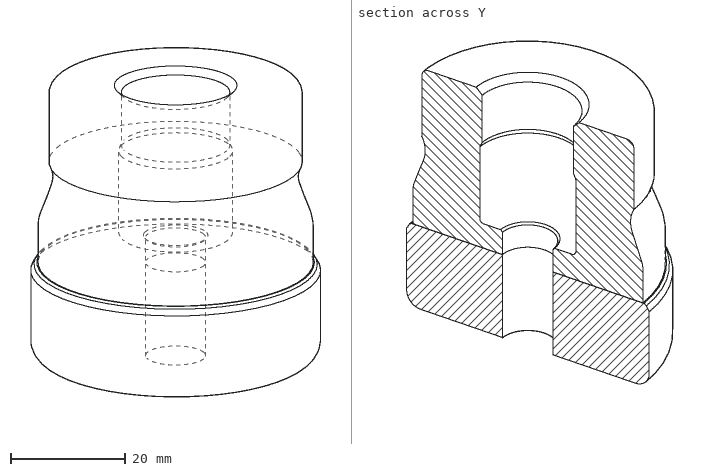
import cadquery as cq
import math

total_height = 49.86

base_radius = 25.4
base_height = 17.2
bottom_round = 3.0
lower_bevel_width = 0.6
lower_bevel_height = 1.04
upper_bevel_width = 0.5
upper_bevel_height = 0.36

hole_radius = 5.25
hole_chamfer = 0.4

skirt_radius = 24.1
shoulder_start_z = 24.0
shoulder_round = 5.0
cone_angle = math.radians(20)
neck_start_z = 31.0
neck_round = 6.0
head_start_z = 35.8
head_radius = 22.2
head_round = 1.5

bore_radius = 9.5
entry_chamfer = 1.25
bore_depth = 11.0
flare_width = 0.5
flare_height = 1.07
floor_thickness = 5.0
floor_round = 0.8


def revolve_about_z(profile):
    """Turn a closed radius-height profile into a solid round the Z axis."""
    return profile.close().revolve(360, (0, 0, 0), (0, 1, 0))


def make_base():
    upper_bevel_radius = base_radius - lower_bevel_width
    upper_bevel_z = base_height - upper_bevel_height
    profile = (
        cq.Workplane("XZ")
        .moveTo(hole_radius, 0)
        .lineTo(base_radius - bottom_round, 0)
        .radiusArc((base_radius, bottom_round), -bottom_round)
        .lineTo(base_radius, upper_bevel_z - lower_bevel_height)
        .lineTo(upper_bevel_radius, upper_bevel_z)
        .lineTo(upper_bevel_radius - upper_bevel_width, base_height)
        .lineTo(hole_radius, base_height)
    )
    return revolve_about_z(profile)


def make_sleeve():
    shoulder_end_radius = skirt_radius - shoulder_round * (1 - math.cos(cone_angle))
    shoulder_end_z = shoulder_start_z + shoulder_round * math.sin(cone_angle)

    neck_start_radius = shoulder_end_radius - (neck_start_z - shoulder_end_z) * math.tan(cone_angle)

    bore_end_z = total_height - bore_depth
    cavity_radius = bore_radius + flare_width
    floor_z = base_height + floor_thickness

    profile = (
        cq.Workplane("XZ")
        .moveTo(hole_radius, base_height)
        .lineTo(skirt_radius, base_height)
        .lineTo(skirt_radius, shoulder_start_z)
        .radiusArc((shoulder_end_radius, shoulder_end_z), -shoulder_round)
        .lineTo(neck_start_radius, neck_start_z)
        .radiusArc((head_radius, head_start_z), neck_round)
        .lineTo(head_radius, total_height - head_round)
        .radiusArc((head_radius - head_round, total_height), -head_round)
        .lineTo(bore_radius + entry_chamfer, total_height)
        .lineTo(bore_radius, total_height - entry_chamfer)
        .lineTo(bore_radius, bore_end_z)
        .lineTo(cavity_radius, bore_end_z - flare_height)
        .lineTo(cavity_radius, floor_z + floor_round)
        .radiusArc((cavity_radius - floor_round, floor_z), floor_round)
        .lineTo(hole_radius + hole_chamfer, floor_z)
        .lineTo(hole_radius, floor_z - hole_chamfer)
    )
    return revolve_about_z(profile)


base = make_base()
sleeve = make_sleeve()
result = cq.Compound.makeCompound([base.val(), sleeve.val()])